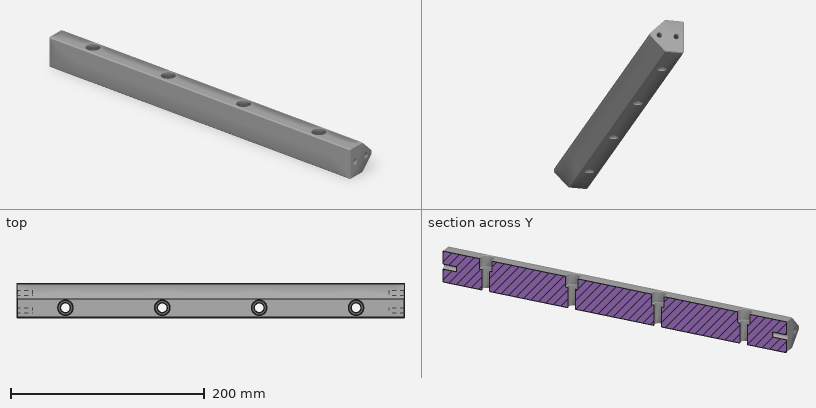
import cadquery as cq

LENGTH = 400.0
DEPTH = 35.5
HEIGHT = 35.0

SHOULDER_Y = 20.0
EDGE_CHAMFER = 1.0
END_CHAMFER = 1.0

MOUNT_COUNT = 4
MOUNT_PITCH = LENGTH / MOUNT_COUNT
MOUNT_Y = 11.0
MOUNT_DIAMETER = 10.0
COUNTERBORE_DIAMETER = 15.0
COUNTERBORE_DEPTH = 12.0
MOUTH_CHAMFER = 0.5

END_HOLE_YS = (8.0, 26.0)
END_HOLE_DIAMETER = 5.0
END_HOLE_DEPTH = 16.0
COUNTERSINK_DIAMETER = 7.0
COUNTERSINK_ANGLE = 90


def make_bar():
    half_height = HEIGHT / 2
    slope_run = DEPTH - SHOULDER_Y
    rear_half_flat = half_height - slope_run
    bar = (
        cq.Workplane("YZ")
        .moveTo(0, -half_height)
        .lineTo(SHOULDER_Y, -half_height)
        .lineTo(DEPTH, -rear_half_flat)
        .lineTo(DEPTH, rear_half_flat)
        .lineTo(SHOULDER_Y, half_height)
        .lineTo(0, half_height)
        .close()
        .extrude(LENGTH)
    )
    return bar.faces("<Y").edges("|X").chamfer(EDGE_CHAMFER)


def chamfer_ends(bar):
    """Break the front, top and bottom end edges; the slopes and rear flat stay sharp."""
    front_half = cq.selectors.BoxSelector(
        (-LENGTH, -DEPTH, -HEIGHT),
        (2 * LENGTH, SHOULDER_Y, HEIGHT),
    )
    return bar.faces("|X").edges(front_half).chamfer(END_CHAMFER)


def cut_mount_holes(bar):
    centres = [(MOUNT_PITCH * (index + 0.5), MOUNT_Y) for index in range(MOUNT_COUNT)]
    bar = (
        bar.faces(">Z")
        .workplane(origin=(0, 0, HEIGHT / 2))
        .pushPoints(centres)
        .cboreHole(MOUNT_DIAMETER, COUNTERBORE_DIAMETER, COUNTERBORE_DEPTH)
    )
    return bar.faces(">Z").edges("%CIRCLE").chamfer(MOUTH_CHAMFER)


def cut_end_holes(bar):
    for end_face, outward in (("<X", -1), (">X", 1)):
        centres = [(outward * y, 0) for y in END_HOLE_YS]
        bar = (
            bar.faces(end_face)
            .workplane(origin=(0, 0, 0))
            .pushPoints(centres)
            .cskHole(END_HOLE_DIAMETER, COUNTERSINK_DIAMETER, COUNTERSINK_ANGLE, depth=END_HOLE_DEPTH)
        )
    return bar


bar = chamfer_ends(make_bar())
result = cut_end_holes(cut_mount_holes(bar))